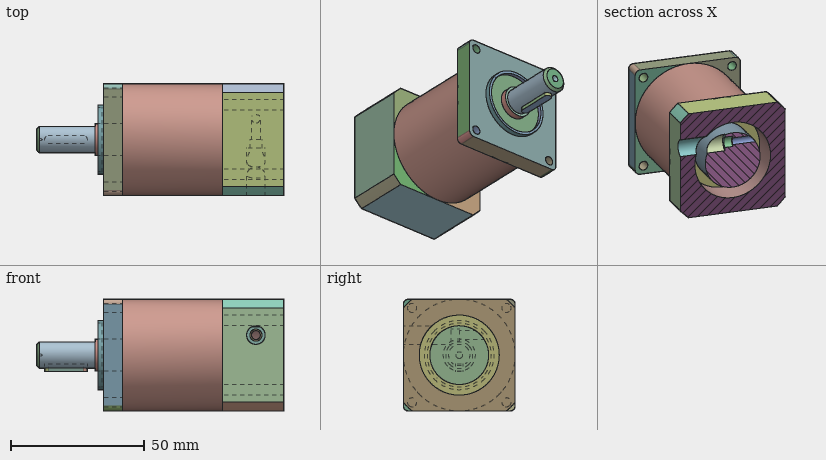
import cadquery as cq
import math

shaft_tip_x = 0.0
collar_x = 22.0
pilot_x = 23.0
flange_x = 25.0
barrel_x = 32.3
block_x = 69.6
rear_x = 92.7

side = 42.0
flange_corner_radius = 1.95
pilot_diameter = 26.05
recess_diameter = 24.0
recess_depth = 1.5
bolt_circle_diameter = 50.1
bolt_hole_diameter = 3.4
block_corner_diameter = 54.9
cavity_diameter = 30.0

shaft_diameter = 10.0
shaft_chamfer = 1.0
collar_diameter = 12.05
center_hole_diameter = 2.5
center_hole_angle = 60.0

key_start_x = 3.0
key_length = 16.0
key_width = 3.0
key_height = 3.0
key_bottom_z = -6.2

hub_diameter = 22.1
screw_x = 82.2
screw_z = 7.5
screw_access_diameter = 6.95
screw_seat_y = -3.15
screw_clearance_diameter = 4.5
screw_thread_diameter = 3.3


def disc(diameter, start_x, end_x):
    """Cylinder on the X axis between two X positions."""
    return cq.Workplane("YZ", origin=(start_x, 0, 0)).circle(diameter / 2).extrude(end_x - start_x)


def square_block(start_x, end_x):
    """Square prism centred on the X axis between two X positions."""
    return cq.Workplane("YZ", origin=(start_x, 0, 0)).rect(side, side).extrude(end_x - start_x)


def screw_bore(diameter, start_y, end_y):
    """Cylinder on the clamping screw axis between two Y positions."""
    base = cq.Workplane("XZ", origin=(screw_x, start_y, screw_z))
    return base.circle(diameter / 2).extrude(start_y - end_y)


def key_blank():
    """Round-ended key, also used to cut its keyway."""
    middle_x = key_start_x + key_length / 2
    base = cq.Workplane("XY", origin=(middle_x, 0, key_bottom_z))
    return base.slot2D(key_length, key_width).extrude(key_height)


screw_access = screw_bore(screw_access_diameter, -side / 2, screw_seat_y)


def make_shaft():
    shaft = disc(shaft_diameter, shaft_tip_x, collar_x).faces("<X").chamfer(shaft_chamfer)
    shaft = shaft.union(disc(collar_diameter, collar_x, barrel_x))
    center_radius = center_hole_diameter / 2
    center_depth = center_radius / math.tan(math.radians(center_hole_angle / 2))
    center_cone = cq.Solid.makeCone(
        center_radius, 0, center_depth, pnt=cq.Vector(shaft_tip_x, 0, 0), dir=cq.Vector(1, 0, 0)
    )
    return shaft.cut(cq.Workplane(center_cone)).cut(key_blank())


def make_housing():
    bolt_pitch = bolt_circle_diameter / math.sqrt(2)
    flange = square_block(flange_x, barrel_x).edges("|X").fillet(flange_corner_radius)
    flange = (
        flange.faces("<X").workplane(centerOption="CenterOfBoundBox")
        .rect(bolt_pitch, bolt_pitch, forConstruction=True).vertices()
        .hole(bolt_hole_diameter)
    )
    pilot = disc(pilot_diameter, pilot_x, flange_x)
    barrel = disc(side, barrel_x, block_x)
    block = square_block(block_x, rear_x).intersect(disc(block_corner_diameter, block_x, rear_x))
    housing = flange.union(pilot).union(barrel).union(block)
    housing = housing.cut(disc(recess_diameter, pilot_x, pilot_x + recess_depth))
    housing = housing.cut(disc(collar_diameter, pilot_x, barrel_x))
    housing = housing.cut(disc(cavity_diameter, block_x, rear_x))
    return housing.cut(screw_access)


def make_clamp_hub():
    hub = disc(hub_diameter, block_x, rear_x).cut(screw_access)
    hub = hub.cut(screw_bore(screw_clearance_diameter, screw_seat_y, 0))
    return hub.cut(screw_bore(screw_thread_diameter, 0, hub_diameter / 2))


shaft = make_shaft()
key = key_blank()
housing = make_housing()
clamp_hub = make_clamp_hub()

result = cq.Compound.makeCompound([
    shaft.solids().val(),
    key.solids().val(),
    housing.solids().val(),
    clamp_hub.solids().val(),
])